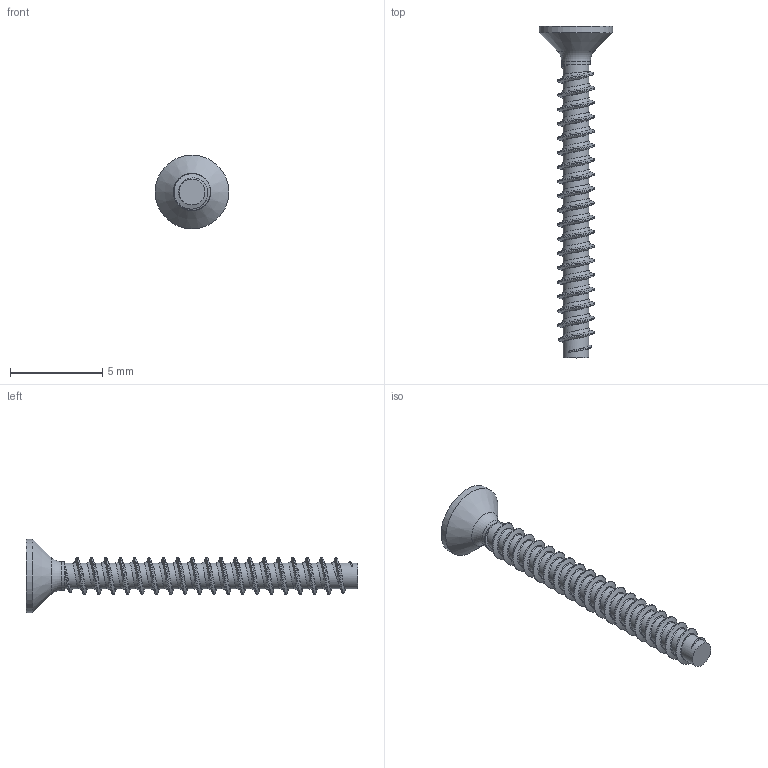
import math
import cadquery as cq

SCREW_LENGTH = 18.0
HEAD_RADIUS = 2.0
RIM_HEIGHT = 0.365
HEAD_HALF_ANGLE = math.radians(45)
NECK_RADIUS = 0.78
NECK_FILLET = 0.79
NECK_END = 2.1
CORE_RADIUS = 0.705

PITCH = 0.78
THREAD_RADIUS = 1.0
CREST_WIDTH = 0.06
SHOULDER_RADIUS = 0.755
SHOULDER_WIDTH = 0.22
HEAD_RAMP_REACH = 0.30
TIP_RAMP_REACH = 0.15
EMBED = 0.02

THREAD_START = 1.95
THREAD_END = 17.75
START_ANGLE = math.radians(70)
FADE_TURNS = 1.3
SUNK_DEPTH = 0.04
POINTS_PER_TURN = 16

thread_turns = (THREAD_END - THREAD_START) / PITCH


def make_blank():
    """Head, filleted neck and plain core as one revolved profile."""
    fillet_top_radius = NECK_RADIUS + NECK_FILLET * (1 - math.cos(HEAD_HALF_ANGLE))
    cone_end = RIM_HEIGHT + (HEAD_RADIUS - fillet_top_radius) / math.tan(HEAD_HALF_ANGLE)
    fillet_end = cone_end + NECK_FILLET * math.sin(HEAD_HALF_ANGLE)
    mid_angle = HEAD_HALF_ANGLE / 2
    fillet_mid = (
        NECK_RADIUS + NECK_FILLET * (1 - math.cos(mid_angle)),
        -fillet_end + NECK_FILLET * math.sin(mid_angle),
    )
    return (
        cq.Workplane("XY")
        .lineTo(HEAD_RADIUS, 0)
        .lineTo(HEAD_RADIUS, -RIM_HEIGHT)
        .lineTo(fillet_top_radius, -cone_end)
        .threePointArc(fillet_mid, (NECK_RADIUS, -fillet_end))
        .lineTo(NECK_RADIUS, -NECK_END)
        .lineTo(CORE_RADIUS, -NECK_END)
        .lineTo(CORE_RADIUS, -SCREW_LENGTH)
        .lineTo(0, -SCREW_LENGTH)
        .close()
        .revolve(360, (0, 0), (0, 1))
    )


def thread_section():
    """Corners (radius, axial offset from the tooth centre), from the head side to the tip side."""
    shoulder_half = SHOULDER_WIDTH / 2
    embed_share = EMBED / (SHOULDER_RADIUS - CORE_RADIUS)
    foot_radius = CORE_RADIUS - EMBED
    head_foot = HEAD_RAMP_REACH + (HEAD_RAMP_REACH - shoulder_half) * embed_share
    tip_foot = TIP_RAMP_REACH + (TIP_RAMP_REACH - shoulder_half) * embed_share
    return [
        (foot_radius, head_foot),
        (SHOULDER_RADIUS, shoulder_half),
        (THREAD_RADIUS, CREST_WIDTH / 2),
        (THREAD_RADIUS, -CREST_WIDTH / 2),
        (SHOULDER_RADIUS, -shoulder_half),
        (foot_radius, -tip_foot),
    ]


def sink(turn):
    """Radial lowering of the thread: none along the middle, below the core surface at both ends."""
    distance_to_end = min(turn, thread_turns - turn)
    fade_share = max(0, 1 - distance_to_end / FADE_TURNS)
    return (THREAD_RADIUS - CORE_RADIUS + SUNK_DEPTH) * fade_share**2


def thread_edge(radius, axial_offset):
    """Helical curve traced by one corner of the thread section."""
    steps = math.ceil(thread_turns * POINTS_PER_TURN)
    points = []
    for step in range(steps + 1):
        turn = thread_turns * step / steps
        angle = START_ANGLE + 2 * math.pi * turn
        r = radius - sink(turn)
        y = axial_offset - THREAD_START - PITCH * turn
        points.append(cq.Vector(r * math.cos(angle), y, r * math.sin(angle)))
    return cq.Edge.makeSpline(points)


def make_thread():
    """Thread solid: helical faces between neighbouring corner curves and a flat cap at each end."""
    edges = [thread_edge(radius, offset) for radius, offset in thread_section()]
    faces = [cq.Face.makeRuledSurface(edges[i - 1], edges[i]) for i in range(len(edges))]
    start_corners = [edge.startPoint() for edge in edges]
    end_corners = [edge.endPoint() for edge in edges]
    for corners in (start_corners, end_corners):
        outline = cq.Wire.makePolygon(corners, close=True)
        faces.append(cq.Face.makeFromWires(outline))
    return cq.Solid.makeSolid(cq.Shell.makeShell(faces))


result = make_blank().union(cq.Workplane(make_thread()))